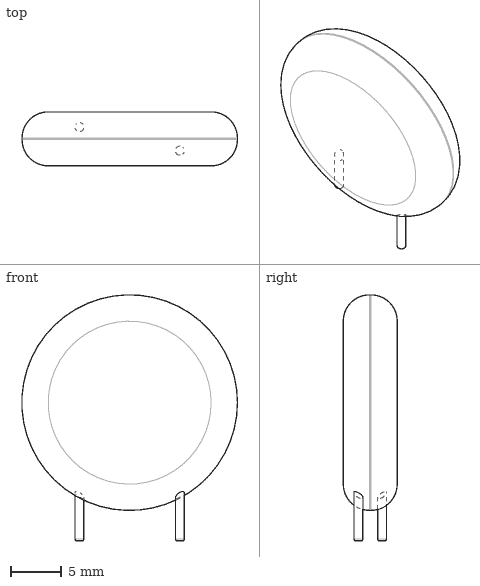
import cadquery as cq

disc_diameter = 21.5
disc_thickness = 5.4
rim_width = 0.13
edge_radius = (disc_thickness - rim_width) / 2

overall_height = 24.53
lead_diameter = 0.9
lead_spacing_x = 10.0
lead_offset_y = 1.175
lead_tip_fillet = 0.2
lead_top_z = -disc_diameter / 4
lead_bottom_z = disc_diameter / 2 - overall_height


def make_disc():
    """Round disc centred on the origin with both edges fully rounded."""
    disc = cq.Workplane("XZ").circle(disc_diameter / 2).extrude(disc_thickness / 2, both=True)
    return disc.faces("<Y or >Y").edges().fillet(edge_radius)


def make_lead(x, y):
    """Vertical lead running from inside the disc down to its rounded tip."""
    lead = (
        cq.Workplane("XY", origin=(x, y, lead_bottom_z))
        .circle(lead_diameter / 2)
        .extrude(lead_top_z - lead_bottom_z)
    )
    return lead.faces("<Z").edges().fillet(lead_tip_fillet)


result = make_disc()
for side in (-1, 1):
    result = result.union(make_lead(side * lead_spacing_x / 2, -side * lead_offset_y))